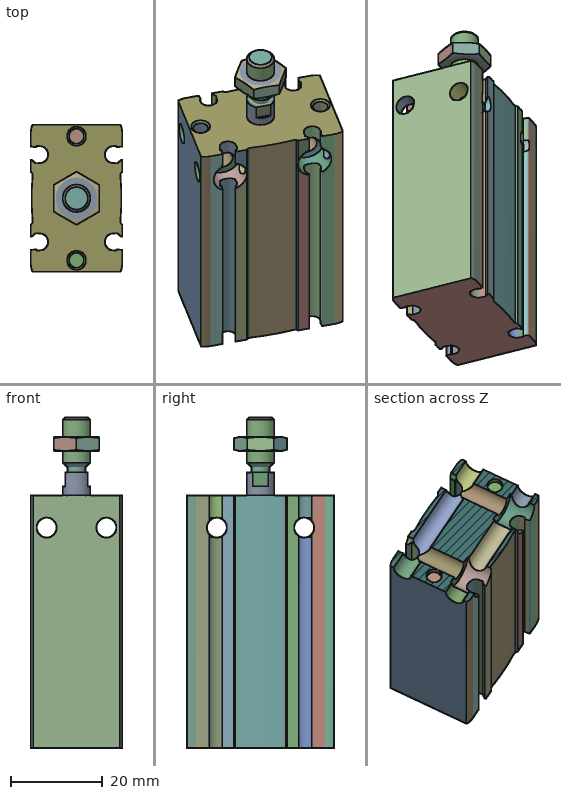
import cadquery as cq
import math


housing_width = 20.0
housing_depth = 32.0
housing_height = 55.0
half_width = housing_width / 2
half_depth = housing_depth / 2

crown_x = 9.8
crown_edge_x = 9.57
crown_edge_y = 5.0
recess_x = 9.66
recess_y = 5.45
lip_start_y = 5.8
taper_start_y = 14.0
taper_mid = (9.92, 14.9)
taper_end = (9.7, 15.75)
end_face_half_width = 9.45

slot_y = 9.5
slot_floor_radius = 1.85
slot_floor_center_x = 8.05
slot_floor_edge_x = 7.45
slot_wall_offset = 1.88
slot_outer_wall_end_x = 8.6
slot_inner_wall_end_x = 8.85
mouth_wall_y = 11.2
mouth_wall_round = 0.2
mouth_cusp = (8.75, 11.1)
inner_lip_top = (9.78, 8.37)
inner_lip_y = 8.15

mount_z = 48.0
mount_diameter = 4.3
front_hole_x = 6.5
side_hole_y = slot_y
counterbore_diameter = 7.5
counterbore_depth = 6.0

tapped_hole_y = 13.5
tapped_diameter = 3.24
tapped_mouth_diameter = 4.13
tapped_depth = 8.0

rod_diameter = 6.0
rod_top_z = 72.0
rod_tip_diameter = 4.92
thread_start_z = 62.15
neck_diameter = 4.0
neck_fillet_radius = 0.2
shoulder_z = 60.0
wrench_flat_bottom_z = 57.0
wrench_flat_width = 5.0

nut_across_flats = 10.0
nut_bottom_z = 64.6
nut_thickness = 3.2
nut_face_diameter = 9.0
nut_chamfer_angle = 15.0


def housing_quarter():
    """Quarter of the housing section, in the +X +Y quadrant, as an extruded block."""
    floor_x = slot_floor_center_x - slot_floor_radius
    floor_edge_offset = math.sqrt(slot_floor_radius**2 - (slot_floor_edge_x - slot_floor_center_x) ** 2)
    crown_rise = crown_x - crown_edge_x
    crown_radius = (crown_edge_y**2 + crown_rise**2) / (2 * crown_rise)
    return (
        cq.Workplane("XY")
        .lineTo(crown_x, 0)
        .radiusArc((crown_edge_x, crown_edge_y), -crown_radius)
        .lineTo(recess_x, recess_y)
        .lineTo(half_width, lip_start_y)
        .lineTo(half_width, inner_lip_y)
        .tangentArcPoint(inner_lip_top, relative=False)
        .lineTo(slot_inner_wall_end_x, slot_y - slot_wall_offset)
        .lineTo(slot_floor_edge_x, slot_y - floor_edge_offset)
        .threePointArc((floor_x, slot_y), (slot_floor_edge_x, slot_y + floor_edge_offset))
        .lineTo(slot_outer_wall_end_x, slot_y + slot_wall_offset)
        .lineTo(*mouth_cusp)
        .lineTo(half_width - mouth_wall_round, mouth_wall_y)
        .tangentArcPoint((half_width, mouth_wall_y + mouth_wall_round), relative=False)
        .lineTo(half_width, taper_start_y)
        .threePointArc(taper_mid, taper_end)
        .tangentArcPoint((end_face_half_width, half_depth), relative=False)
        .lineTo(0, half_depth)
        .close()
        .extrude(housing_height)
    )


def housing_extrusion():
    quarter = housing_quarter()
    half = quarter.union(quarter.mirror("YZ"))
    return half.union(half.mirror("XZ")).clean()


def mounting_holes():
    front_holes = (
        cq.Workplane("XZ", origin=(0, half_depth, mount_z))
        .pushPoints([(-front_hole_x, 0), (front_hole_x, 0)])
        .circle(mount_diameter / 2)
        .extrude(housing_depth)
    )
    side_plane = cq.Workplane("YZ", origin=(-half_width, 0, mount_z))
    side_places = [(-side_hole_y, 0), (side_hole_y, 0)]
    side_holes = side_plane.pushPoints(side_places).circle(mount_diameter / 2).extrude(housing_width)
    counterbores = side_plane.pushPoints(side_places).circle(counterbore_diameter / 2).extrude(counterbore_depth)
    return [front_holes, side_holes, counterbores]


def build_housing():
    body = housing_extrusion()
    for hole in mounting_holes():
        body = body.cut(hole)
    return (
        body.faces(">Z")
        .workplane(origin=(0, 0, housing_height))
        .pushPoints([(0, -tapped_hole_y), (0, tapped_hole_y)])
        .cskHole(tapped_diameter, tapped_mouth_diameter, 90, tapped_depth)
    )


def build_rod():
    """Turned rod standing on the housing, with a thread relief neck and two wrench flats."""
    rod_radius = rod_diameter / 2
    neck_radius = neck_diameter / 2
    tip_radius = rod_tip_diameter / 2
    rod = (
        cq.Workplane("XZ")
        .moveTo(0, housing_height)
        .lineTo(rod_radius, housing_height)
        .lineTo(rod_radius, shoulder_z)
        .lineTo(neck_radius, shoulder_z)
        .lineTo(neck_radius, thread_start_z - (rod_radius - neck_radius))
        .lineTo(rod_radius, thread_start_z)
        .lineTo(rod_radius, rod_top_z - (rod_radius - tip_radius))
        .lineTo(tip_radius, rod_top_z)
        .lineTo(0, rod_top_z)
        .close()
        .revolve(360, (0, 0), (0, 1))
    )
    neck_edges = rod.edges(cq.selectors.RadiusNthSelector(0))
    rod = neck_edges.fillet(neck_fillet_radius)

    flat_height = shoulder_z - wrench_flat_bottom_z
    for side in (-1, 1):
        flat_cut = cq.Workplane("XY").box(rod_diameter, rod_diameter, flat_height, centered=(True, True, False))
        flat_x = side * (wrench_flat_width + rod_diameter) / 2
        rod = rod.cut(flat_cut.translate((flat_x, 0, wrench_flat_bottom_z)))
    return rod


def build_nut():
    """Hexagon nut with corners on the Y axis, chamfered at both faces."""
    across_corners = nut_across_flats / math.cos(math.pi / 6)
    corner_radius = across_corners / 2
    face_radius = nut_face_diameter / 2
    chamfer_height = (corner_radius - face_radius) * math.tan(math.radians(nut_chamfer_angle))
    nut_top_z = nut_bottom_z + nut_thickness
    hexagon = (
        cq.Workplane("XY", origin=(0, 0, nut_bottom_z))
        .transformed(rotate=(0, 0, 90))
        .polygon(6, across_corners)
        .circle(rod_diameter / 2)
        .extrude(nut_thickness)
    )
    chamfer_envelope = (
        cq.Workplane("XZ")
        .moveTo(0, nut_bottom_z)
        .lineTo(face_radius, nut_bottom_z)
        .lineTo(corner_radius, nut_bottom_z + chamfer_height)
        .lineTo(corner_radius, nut_top_z - chamfer_height)
        .lineTo(face_radius, nut_top_z)
        .lineTo(0, nut_top_z)
        .close()
        .revolve(360, (0, 0), (0, 1))
    )
    return hexagon.intersect(chamfer_envelope)


housing = build_housing()
rod = build_rod()
nut = build_nut()

result = cq.Compound.makeCompound([housing.val(), rod.val(), nut.val()])